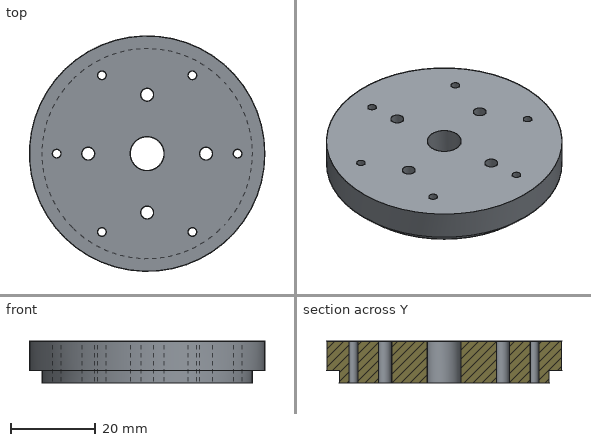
import cadquery as cq

flange_diameter = 56.0
flange_thickness = 7.0
spigot_diameter = 50.0
spigot_height = 3.0

bore_diameter = 8.0

inner_hole_count = 4
inner_hole_diameter = 3.0
inner_circle_radius = 14.0

outer_hole_count = 6
outer_hole_diameter = 2.0
outer_circle_radius = 21.5

total_height = spigot_height + flange_thickness


def stepped_disc():
    """Wide flange standing on a narrower locating spigot, base at Z = 0."""
    spigot = cq.Workplane("XY").circle(spigot_diameter / 2).extrude(spigot_height)
    flange = (
        cq.Workplane("XY")
        .workplane(offset=spigot_height)
        .circle(flange_diameter / 2)
        .extrude(flange_thickness)
    )
    return spigot.union(flange)


def center_bore():
    """Cylinder that cuts the central through bore."""
    return cq.Workplane("XY").circle(bore_diameter / 2).extrude(total_height)


def hole_circle(count, hole_diameter, circle_radius):
    """Equally spaced through-hole cutters, the first one on the +X axis."""
    return (
        cq.Workplane("XY")
        .polarArray(circle_radius, 0, 360, count)
        .circle(hole_diameter / 2)
        .extrude(total_height)
    )


result = (
    stepped_disc()
    .cut(center_bore())
    .cut(hole_circle(inner_hole_count, inner_hole_diameter, inner_circle_radius))
    .cut(hole_circle(outer_hole_count, outer_hole_diameter, outer_circle_radius))
)